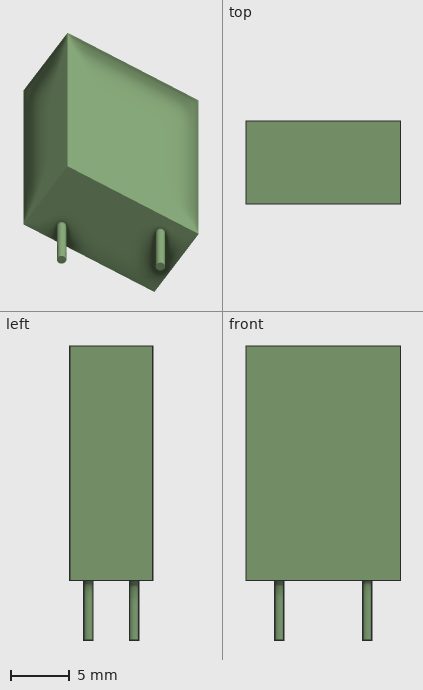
import cadquery as cq

total_height = 25.1
body_width = 13.2
body_depth = 7.1
body_height = 20.0

pin_diameter = 0.8
pin_length = total_height - body_height
pin_spacing_x = 7.5
pin_spacing_y = 3.9


def make_body():
    """Plain rectangular block standing on the plane Z = 0."""
    return cq.Workplane("XY").box(body_width, body_depth, body_height, centered=(True, True, False))


def make_pin(x, y):
    """Straight round pin hanging from the underside of the body."""
    return cq.Workplane("XY").center(x, y).circle(pin_diameter / 2).extrude(-pin_length)


body = make_body()

pins = []
for side in (-1, 1):
    pin = make_pin(side * pin_spacing_x / 2, -side * pin_spacing_y / 2)
    pins.append(pin.val())

result = cq.Compound.makeCompound([body.val(), *pins])